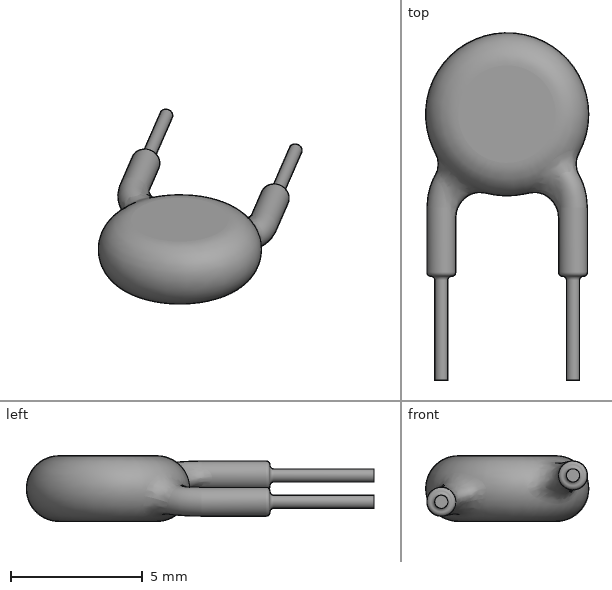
import cadquery as cq
import math

BODY_RADIUS = 3.1
BODY_THICKNESS = 2.5
RIM_RADIUS = BODY_THICKNESS / 2
FLAT_RADIUS = BODY_RADIUS - RIM_RADIUS

LEAD_X = 2.5
LEAD_Z = 0.5
WIRE_RADIUS = 0.25
WIRE_END_Y = -10.1

SLEEVE_RADIUS = 0.55
SLEEVE_END_Y = -6.15
END_ROUND = (SLEEVE_RADIUS - WIRE_RADIUS) / 2
BEND_START_Y = -3.55
BEND_RADIUS = 2.0
BEND_ANGLE = math.radians(50)
RUN_INTO_BODY = 0.6
ROOT_FILLET = 1.0

LEAD_OFFSET = math.hypot(LEAD_X, LEAD_Z)
LEAD_TILT = math.degrees(math.atan2(LEAD_Z, LEAD_X))


def make_body():
    return (
        cq.Workplane("XZ")
        .moveTo(0, -RIM_RADIUS)
        .lineTo(FLAT_RADIUS, -RIM_RADIUS)
        .threePointArc((BODY_RADIUS, 0), (FLAT_RADIUS, RIM_RADIUS))
        .lineTo(0, RIM_RADIUS)
        .close()
        .revolve(360, (0, 0), (0, 1))
    )


def bend_point(angle):
    """Point on the sleeve centreline after turning by the angle from +Y."""
    return (
        LEAD_OFFSET - BEND_RADIUS * (1 - math.cos(angle)),
        BEND_START_Y + BEND_RADIUS * math.sin(angle),
    )


def make_bent_sleeve():
    """Bent end of the sleeve, in the XY plane, reaching inside the body."""
    bend_end = bend_point(BEND_ANGLE)
    inner_end = (
        bend_end[0] - RUN_INTO_BODY * math.sin(BEND_ANGLE),
        bend_end[1] + RUN_INTO_BODY * math.cos(BEND_ANGLE),
    )
    path = (
        cq.Workplane("XY")
        .moveTo(LEAD_OFFSET, BEND_START_Y)
        .threePointArc(bend_point(BEND_ANGLE / 2), bend_end)
        .lineTo(*inner_end)
    )
    section = cq.Workplane("XZ", origin=(LEAD_OFFSET, BEND_START_Y, 0)).circle(SLEEVE_RADIUS)
    return section.sweep(path)


def make_straight_lead():
    """Straight sleeve and bare wire; the sleeve end rounds over and then flares into the wire."""
    round_start_y = SLEEVE_END_Y + END_ROUND
    flare_end_y = SLEEVE_END_Y - END_ROUND
    step_radius = SLEEVE_RADIUS - END_ROUND
    diagonal = END_ROUND * math.sin(math.radians(45))
    return (
        cq.Workplane("XY", origin=(LEAD_OFFSET, 0, 0))
        .moveTo(0, BEND_START_Y)
        .lineTo(SLEEVE_RADIUS, BEND_START_Y)
        .lineTo(SLEEVE_RADIUS, round_start_y)
        .threePointArc(
            (step_radius + diagonal, round_start_y - diagonal),
            (step_radius, SLEEVE_END_Y),
        )
        .threePointArc(
            (step_radius - diagonal, flare_end_y + diagonal),
            (WIRE_RADIUS, flare_end_y),
        )
        .lineTo(WIRE_RADIUS, WIRE_END_Y)
        .lineTo(0, WIRE_END_Y)
        .close()
        .revolve(360, (0, 0), (0, 1))
    )


def place_leads(lead):
    """The lead tilted to its place at +X +Z, with its copy turned half way round Y."""
    y_axis = ((0, 0, 0), (0, 1, 0))
    return [lead.rotate(*y_axis, turn - LEAD_TILT) for turn in (0, 180)]


def make_part():
    part = make_body()
    for lead in place_leads(make_bent_sleeve().union(make_straight_lead())):
        part = part.union(lead)
    return part.edges("%BSPLINE or %OTHER").fillet(ROOT_FILLET)


result = make_part()